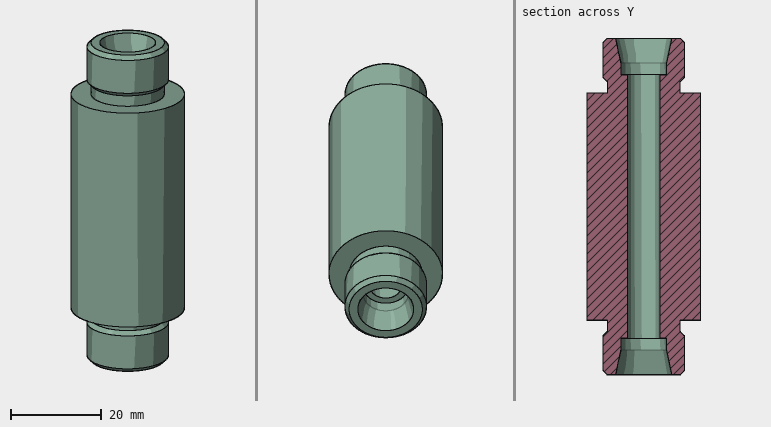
import cadquery as cq
import math

total_length = 74.0
body_length = 50.0
body_radius = 25.0 / 2

spigot_radius = 18.0 / 2
neck_radius = 16.1 / 2
neck_length = 2.45
chamfer = spigot_radius - neck_radius

bore_radius = 7.0 / 2
seat_mouth_radius = 12.3 / 2
socket_radius = 10.0 / 2
seat_half_angle = 12.0
seat_depth = (seat_mouth_radius - socket_radius) / math.tan(math.radians(seat_half_angle))
socket_depth = 8.0

half_length = total_length / 2
half_body = body_length / 2
neck_end = half_body + neck_length


def upper_profile():
    """Return the (radius, height) corners above mid-length, from body rim to bore."""
    return [
        (body_radius, half_body),
        (neck_radius, half_body),
        (neck_radius, neck_end),
        (spigot_radius, neck_end + chamfer),
        (spigot_radius, half_length - chamfer),
        (spigot_radius - chamfer, half_length),
        (seat_mouth_radius, half_length),
        (socket_radius, half_length - seat_depth),
        (socket_radius, half_length - socket_depth),
        (bore_radius, half_length - socket_depth),
    ]


upper = upper_profile()
lower = [(radius, -height) for radius, height in reversed(upper)]
result = cq.Workplane("XZ").polyline(upper + lower).close().revolve(360, (0, 0), (0, 1))